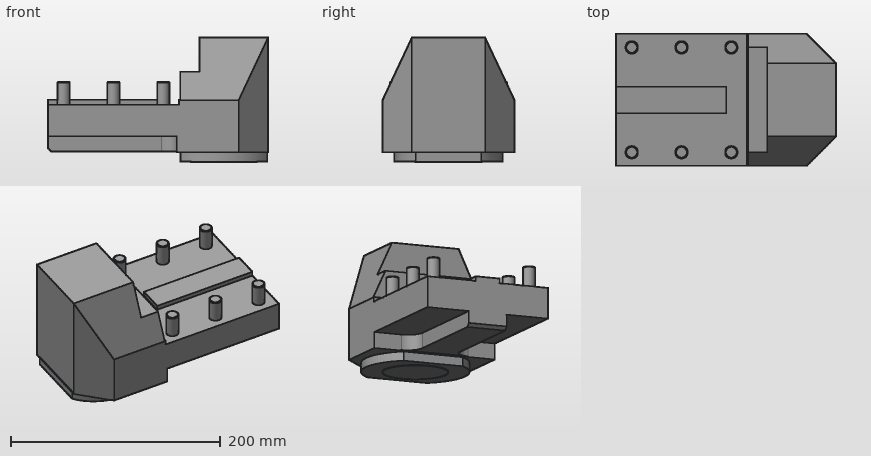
import cadquery as cq

length = 210.0
width = 126.0
height = 119.0

spigot_depth = 0.6
body_bottom = 9.5
rail_bottom = 10.0
plate_bottom = 25.0
plate_top = 55.0
slope_start = 59.2
pad_top = 59.6
ledge_top = 86.5
pin_top = 76.9

body_start = 123.0
lip_start = 125.0
ledge_start = 126.0
tower_start = 144.5
corner_cut = 28.1
top_width = width - 2 * corner_cut

rail_width = 39.5
root_radius = 15.1
rail_chamfer = 3.4

pad_length = 105.0
pad_width = 25.2
pin_diameter = 12.0
pin_chamfer = 0.8
first_pin_x = 15.1
pin_pitch_x = 47.5
pin_pitch_y = 100.0
pins_per_row = 3

flange_x = 167.8
flange_diameter = 103.7
flange_length = 83.2
spigot_diameter = 63.0


def block(x_start, x_end, y_size, z_start, z_end):
    """Box centred on the Y axis between the given X and Z limits."""
    size = (x_end - x_start, y_size, z_end - z_start)
    return cq.Workplane().box(*size, centered=(False, True, False)).translate((x_start, 0, z_start))


def make_body():
    """Plate and stepped housing, with sloped sides and cut rear corners."""
    side_profile = (
        cq.Workplane("XZ", origin=(0, width / 2, 0))
        .moveTo(0, plate_bottom)
        .lineTo(body_start, plate_bottom)
        .lineTo(body_start, body_bottom)
        .lineTo(length, body_bottom)
        .lineTo(length, height)
        .lineTo(tower_start, height)
        .lineTo(tower_start, ledge_top)
        .lineTo(ledge_start, ledge_top)
        .lineTo(ledge_start, pad_top)
        .lineTo(lip_start, pad_top)
        .lineTo(lip_start, plate_top)
        .lineTo(0, plate_top)
        .close()
        .extrude(width)
    )
    end_profile = (
        cq.Workplane("YZ")
        .moveTo(-width / 2, 0)
        .lineTo(width / 2, 0)
        .lineTo(width / 2, slope_start)
        .lineTo(top_width / 2, height)
        .lineTo(-top_width / 2, height)
        .lineTo(-width / 2, slope_start)
        .close()
        .extrude(length)
    )
    plan = block(0, length, width, 0, height).edges(">X and |Z").chamfer(corner_cut)
    return side_profile.intersect(end_profile).intersect(plan)


def make_rail():
    """Rail with a chamfered free end and concave roots where it meets the housing."""
    rail = block(0, body_start, rail_width, rail_bottom, plate_bottom)
    rail = rail.edges("<X and <Z").chamfer(rail_chamfer)
    root_start = body_start - root_radius
    root_width = rail_width + 2 * root_radius
    roots = block(root_start, body_start, root_width, rail_bottom, plate_bottom)
    root_cutters = (
        cq.Workplane(origin=(0, 0, rail_bottom))
        .pushPoints([(root_start, side * root_width / 2) for side in (-1, 1)])
        .circle(root_radius)
        .extrude(plate_bottom - rail_bottom)
    )
    return rail.union(roots.cut(root_cutters))


def make_pins():
    """Two rows of pins with chamfered tips."""
    row_y = pin_pitch_y / 2
    places = [(first_pin_x + i * pin_pitch_x, y) for i in range(pins_per_row) for y in (-row_y, row_y)]
    return (
        cq.Workplane(origin=(0, 0, plate_top))
        .pushPoints(places)
        .circle(pin_diameter / 2)
        .extrude(pin_top - plate_top)
        .faces(">Z")
        .chamfer(pin_chamfer)
    )


def make_flange():
    """Round flange with two flats and a shallow round spigot below it."""
    flange = (
        cq.Workplane(origin=(flange_x, 0, spigot_depth))
        .circle(flange_diameter / 2)
        .extrude(body_bottom - spigot_depth)
    )
    flats = block(
        flange_x - flange_length / 2, flange_x + flange_length / 2, flange_diameter, 0, body_bottom
    )
    spigot = cq.Workplane(origin=(flange_x, 0, 0)).circle(spigot_diameter / 2).extrude(spigot_depth)
    return flange.intersect(flats).union(spigot)


pad = block(0, pad_length, pad_width, plate_top, pad_top)

result = make_body().union(make_rail()).union(pad).union(make_pins()).union(make_flange())